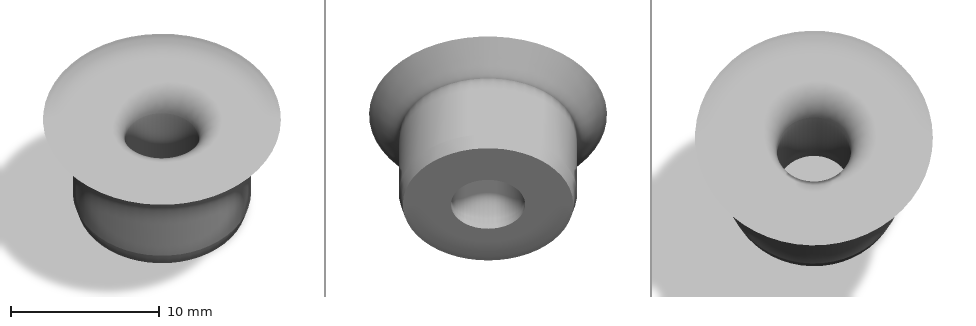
import cadquery as cq
import math

height = 8.0
flange_diameter = 16.0
body_diameter = 12.0
bore_diameter = 5.0
mouth_radius = 2.0
lead_in_height = 1.0
lead_in_angle = 15.0

flange_radius = flange_diameter / 2
body_radius = body_diameter / 2
bore_radius = bore_diameter / 2
flange_height = flange_radius - body_radius
tip_radius = body_radius - lead_in_height * math.tan(math.radians(lead_in_angle))

mouth_start_z = height - mouth_radius
mouth_edge_radius = bore_radius + mouth_radius
mouth_mid_offset = mouth_radius * math.sqrt(0.5)
mouth_mid = (mouth_edge_radius - mouth_mid_offset, mouth_start_z + mouth_mid_offset)

half_section = (
    cq.Workplane("XZ")
    .moveTo(bore_radius, 0)
    .lineTo(tip_radius, 0)
    .lineTo(body_radius, lead_in_height)
    .lineTo(body_radius, height - flange_height)
    .lineTo(flange_radius, height)
    .lineTo(mouth_edge_radius, height)
    .threePointArc(mouth_mid, (bore_radius, mouth_start_z))
    .close()
)

result = half_section.revolve(360, (0, 0, 0), (0, 1, 0))